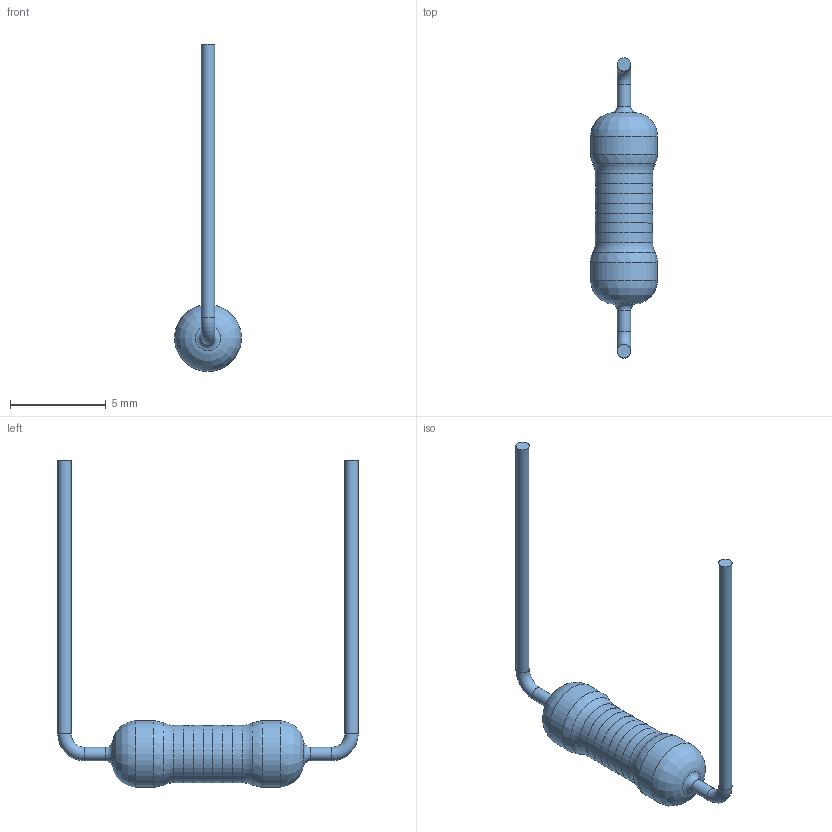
import cadquery as cq
import math

BODY_LENGTH = 10.0
CAP_RADIUS = 3.5 / 2
DOME_RADIUS = 1.225

BAND_COUNT = 7
WAIST_LENGTH = 3.6
RAISED_BAND_RADIUS = 3.0 / 2
SUNKEN_BAND_RADIUS = 2.98 / 2

WIRE_RADIUS = 0.7 / 2
LEAD_PITCH = 15.0
BEND_RADIUS = 1.05
LEAD_TOP = 15.35
COLLAR_RADIUS = 0.35

band_width = WAIST_LENGTH / BAND_COUNT
half_waist = WAIST_LENGTH / 2
lead_y = LEAD_PITCH / 2

flare_middle = ((RAISED_BAND_RADIUS + CAP_RADIUS) / 2, half_waist + band_width)
flare_end = (CAP_RADIUS, half_waist + 2 * band_width)
flare_half_rise = flare_middle[0] - RAISED_BAND_RADIUS
flare_arc_radius = (flare_half_rise**2 + band_width**2) / (2 * flare_half_rise)

dome_center_r = CAP_RADIUS - DOME_RADIUS
dome_start_y = BODY_LENGTH / 2 - DOME_RADIUS
collar_offset_r = WIRE_RADIUS + COLLAR_RADIUS - dome_center_r
collar_tilt = math.asin(collar_offset_r / (DOME_RADIUS + COLLAR_RADIUS))
dome_end = (
    dome_center_r + DOME_RADIUS * math.sin(collar_tilt),
    dome_start_y + DOME_RADIUS * math.cos(collar_tilt),
)
collar_end_y = dome_start_y + (DOME_RADIUS + COLLAR_RADIUS) * math.cos(collar_tilt)


def make_bands():
    """Row of discs along Y; the outermost ones are raised."""
    bands = cq.Workplane("XY")
    for index in range(BAND_COUNT):
        radius = RAISED_BAND_RADIUS if index % 2 == 0 else SUNKEN_BAND_RADIUS
        start_y = index * band_width - half_waist
        disc = cq.Workplane("XZ", origin=(0, start_y, 0)).circle(radius).extrude(-band_width)
        bands = bands.add(disc)
    return bands.combine()


def make_end_cap():
    """Cap at the +Y end: flare, straight rim, dome and wire collar."""
    return (
        cq.Workplane("XY")
        .moveTo(0, half_waist)
        .lineTo(RAISED_BAND_RADIUS, half_waist)
        .radiusArc(flare_middle, flare_arc_radius)
        .tangentArcPoint(flare_end, relative=False)
        .lineTo(CAP_RADIUS, dome_start_y)
        .tangentArcPoint(dome_end, relative=False)
        .tangentArcPoint((WIRE_RADIUS, collar_end_y), relative=False)
        .lineTo(0, collar_end_y)
        .close()
        .revolve(360, (0, 0, 0), (0, 1, 0))
    )


def make_lead():
    """Wire leaving the +Y collar, bending up and rising to its free end."""
    path = (
        cq.Workplane("YZ")
        .moveTo(collar_end_y, 0)
        .lineTo(lead_y - BEND_RADIUS, 0)
        .tangentArcPoint((lead_y, BEND_RADIUS), relative=False)
        .lineTo(lead_y, LEAD_TOP)
    )
    return cq.Workplane("XZ", origin=(0, collar_end_y, 0)).circle(WIRE_RADIUS).sweep(path)


end_assembly = make_end_cap().union(make_lead())
result = make_bands().union(end_assembly).union(end_assembly.mirror("XZ"))